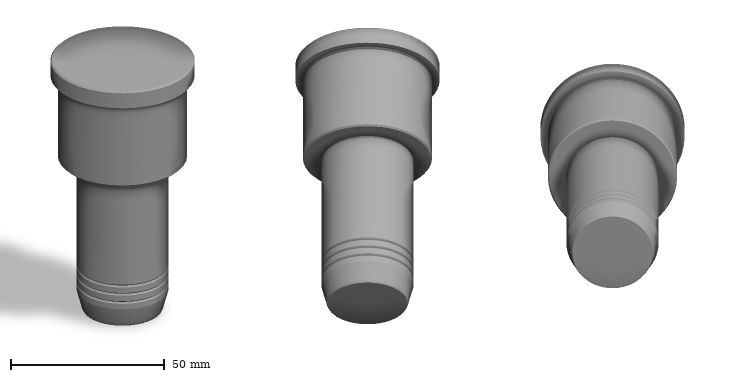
import cadquery as cq

total_length = 91.0
flange_radius = 23.5
body_radius = 21.0
shank_radius = 15.0
edge_chamfer = 0.5

flange_bottom = 6.0
body_bottom = 36.0
relief_width = 1.0
relief_depth = 0.5

v_groove_width = 1.0
v_groove_depth = 0.5
shank_groove_count = 3
first_shank_groove_top = 75.0
shank_groove_pitch = 3.0

nose_start = 84.0
nose_end_radius = 13.3
tip_chamfer_height = 0.5
tip_chamfer_width = 0.3


def cylinder(top_depth, bottom_depth, radius):
    """Solid cylinder on the Z axis between two depths below the top face."""
    return (
        cq.Workplane("XY")
        .workplane(offset=total_length - bottom_depth)
        .circle(radius)
        .extrude(bottom_depth - top_depth)
    )


def revolved(outline):
    """Turn a closed radius-height outline around the Z axis."""
    return outline.close().revolve(360, (0, 0, 0), (0, 1, 0))


def v_groove(top_depth, radius):
    """Ring of triangular section that cuts a V groove into a cylinder."""
    top_z = total_length - top_depth
    outline = cq.Workplane("XZ").polyline([
        (radius, top_z),
        (radius - v_groove_depth, top_z - v_groove_width / 2),
        (radius, top_z - v_groove_width),
    ])
    return revolved(outline)


def make_flange():
    return cylinder(0, flange_bottom, flange_radius).faces(">Z").edges().chamfer(edge_chamfer)


def make_body():
    """Body with a V groove under the flange and a chamfer at its lower edge."""
    body = cylinder(flange_bottom, body_bottom, body_radius)
    body = body.faces("<Z").edges().chamfer(edge_chamfer)
    return body.cut(v_groove(flange_bottom, body_radius))


def make_shank():
    """Shank with a relief under the body and V grooves near its tip."""
    shank_top = body_bottom + relief_width
    shank = cylinder(shank_top, nose_start, shank_radius)
    for index in range(shank_groove_count):
        groove_top = first_shank_groove_top + index * shank_groove_pitch
        shank = shank.cut(v_groove(groove_top, shank_radius))
    relief = cylinder(body_bottom, shank_top, shank_radius - relief_depth)
    return shank.union(relief)


def make_nose():
    """Conical taper ending in a small chamfer at the tip."""
    top_z = total_length - nose_start
    outline = (
        cq.Workplane("XZ")
        .moveTo(0, top_z)
        .lineTo(shank_radius, top_z)
        .lineTo(nose_end_radius, tip_chamfer_height)
        .lineTo(nose_end_radius - tip_chamfer_width, 0)
        .lineTo(0, 0)
    )
    return revolved(outline)


result = make_flange().union(make_body()).union(make_shank()).union(make_nose())